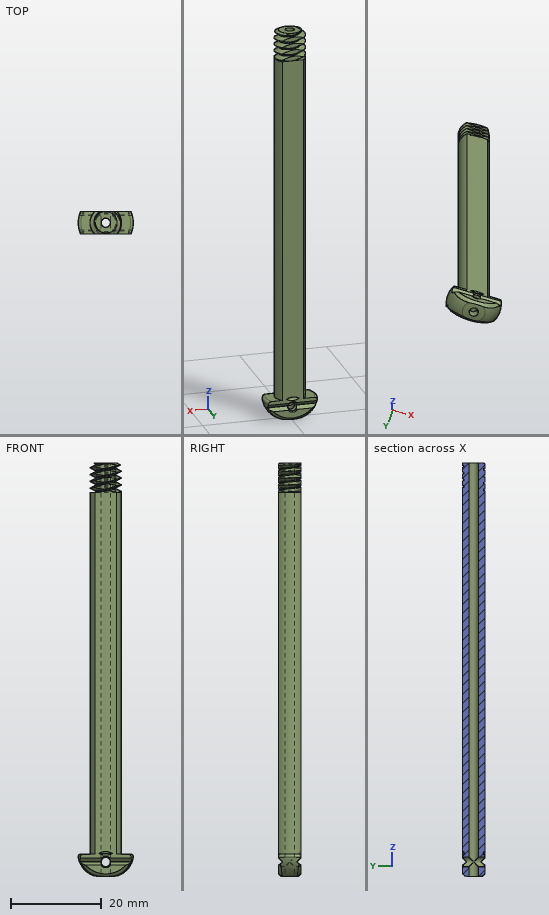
import cadquery as cq

shank_length = 79.75
shank_diameter = 6.9
flat_width = 5.0

thread_length = 6.48
thread_diameter = 7.0
thread_core_diameter = 4.5
thread_pitch = 1.5
thread_root_width = 1.35
thread_embed = 0.1
thread_first_crest_z = 79.9
thread_tip_diameter = 5.0
thread_tip_height = 0.6

head_diameter = 12.2
head_height = 5.02
head_width = 5.0
rim_round = 0.6
rim_depth = 0.8
dome_side_radius = 4.6
dome_side_depth = 3.6
dome_base_radius = 2.5
dome_base_depth = 4.85
face_edge_radius = 6.1
face_edge_centre_z = 1.72

groove_top_depth = 0.83
groove_floor_top_depth = 1.68
groove_floor_bottom_depth = 1.76
groove_bottom_depth = 2.45
groove_depth = 0.9

bore_diameter = 2.0
cross_hole_diameter = 2.0
cross_hole_depth = 1.75
cross_hole_chamfer = 0.25

dimple_length = 2.9
dimple_height = 0.8
dimple_z = 0.15

head_radius = head_diameter / 2
top_z = shank_length + thread_length


def flat_slab(width, bottom, top):
    """Block that trims a round body to two flats facing -Y and +Y."""
    return (
        cq.Workplane("XY")
        .workplane(offset=bottom)
        .rect(2 * head_diameter, width)
        .extrude(top - bottom)
    )


def make_shank():
    round_bar = cq.Workplane("XY").circle(shank_diameter / 2).extrude(shank_length)
    return round_bar.intersect(flat_slab(flat_width, 0, shank_length))


def make_thread_envelope():
    """Cylinder with a conical tip that tapers the last turn of the thread."""
    outer_radius = thread_diameter / 2
    return (
        cq.Workplane("XZ")
        .moveTo(0, shank_length)
        .lineTo(outer_radius, shank_length)
        .lineTo(outer_radius, top_z - thread_tip_height)
        .lineTo(thread_tip_diameter / 2, top_z)
        .lineTo(0, top_z)
        .close()
        .revolve(360, (0, 0), (0, 1))
    )


def make_thread():
    """Right-hand V thread on a plain core, trimmed flush with the shank flats."""
    core_radius = thread_core_diameter / 2
    root_radius = core_radius - thread_embed
    overrun = 2 * thread_pitch
    half_root = thread_root_width / 2
    start_z = thread_first_crest_z - thread_pitch
    helix_height = thread_length + overrun
    helix = cq.Wire.makeHelix(thread_pitch, helix_height, core_radius, cq.Vector(0, 0, start_z))
    ridge = (
        cq.Workplane("XZ")
        .moveTo(root_radius, start_z - half_root)
        .lineTo(thread_diameter / 2, start_z)
        .lineTo(root_radius, start_z + half_root)
        .close()
        .sweep(cq.Workplane(obj=helix), isFrenet=True)
    )
    ridge = ridge.intersect(flat_slab(flat_width, shank_length, top_z))
    core = cq.Workplane("XY").workplane(offset=shank_length).circle(core_radius).extrude(thread_length)
    return core.union(ridge).intersect(make_thread_envelope())


def make_face_edge_cones():
    """Two 45 degree cones about Y, base to base, that chamfer the lower edges of the flat faces."""
    half_width = head_width / 2
    return (
        cq.Workplane("XY", origin=(0, 0, face_edge_centre_z))
        .moveTo(0, -half_width)
        .lineTo(face_edge_radius, -half_width)
        .lineTo(face_edge_radius + half_width, 0)
        .lineTo(face_edge_radius, half_width)
        .lineTo(0, half_width)
        .close()
        .revolve(360, (0, 0), (0, 1))
    )


def make_head():
    """Dome of revolution with a rounded rim, trimmed to two flat faces with chamfered lower edges."""
    base_sagitta = head_height - dome_base_depth
    base_mid = (dome_base_radius / 2, -head_height + base_sagitta / 4)
    dome = (
        cq.Workplane("XZ")
        .moveTo(0, 0)
        .lineTo(head_radius - rim_round, 0)
        .radiusArc((head_radius, -rim_round), rim_round)
        .lineTo(head_radius, -rim_depth)
        .threePointArc((dome_side_radius, -dome_side_depth), (dome_base_radius, -dome_base_depth))
        .threePointArc(base_mid, (0, -head_height))
        .close()
        .revolve(360, (0, 0), (0, 1))
    )
    trimmed_dome = dome.intersect(flat_slab(head_width, -head_height, 0))
    return trimmed_dome.intersect(make_face_edge_cones())


def make_groove(side):
    """Tapered groove along X; side is +1 or -1 for the +Y or -Y face."""
    face = side * head_width / 2
    floor = side * (head_width / 2 - groove_depth)
    return (
        cq.Workplane("YZ")
        .moveTo(face, -groove_top_depth)
        .lineTo(floor, -groove_floor_top_depth)
        .lineTo(floor, -groove_floor_bottom_depth)
        .lineTo(face, -groove_bottom_depth)
        .close()
        .extrude(head_radius, both=True)
    )


def make_bore():
    return (
        cq.Workplane("XY")
        .workplane(offset=-head_height)
        .circle(bore_diameter / 2)
        .extrude(head_height + top_z)
    )


def make_cross_hole():
    """Hole along Y with a small conical chamfer at both mouths."""
    half_width = head_width / 2
    radius = cross_hole_diameter / 2
    mouth_radius = radius + cross_hole_chamfer
    return (
        cq.Workplane("XY")
        .workplane(offset=-cross_hole_depth)
        .moveTo(0, -half_width)
        .lineTo(mouth_radius, -half_width)
        .lineTo(radius, -half_width + cross_hole_chamfer)
        .lineTo(radius, half_width - cross_hole_chamfer)
        .lineTo(mouth_radius, half_width)
        .lineTo(0, half_width)
        .close()
        .revolve(360, (0, 0), (0, 1))
    )


def make_dimple(side):
    """Spindle lying along X, centred on the flat; side is +1 or -1 for the +Y or -Y flat."""
    half_length = dimple_length / 2
    return (
        cq.Workplane("XY", origin=(0, side * flat_width / 2, dimple_z))
        .moveTo(-half_length, 0)
        .threePointArc((0, dimple_height / 2), (half_length, 0))
        .close()
        .revolve(360, (0, 0), (1, 0))
    )


sides = (-1, 1)
result = make_shank().union(make_head())
for side in sides:
    result = result.cut(make_groove(side))
result = result.cut(make_cross_hole()).union(make_thread()).cut(make_bore())

for side in sides:
    result = result.cut(make_dimple(side), clean=False)